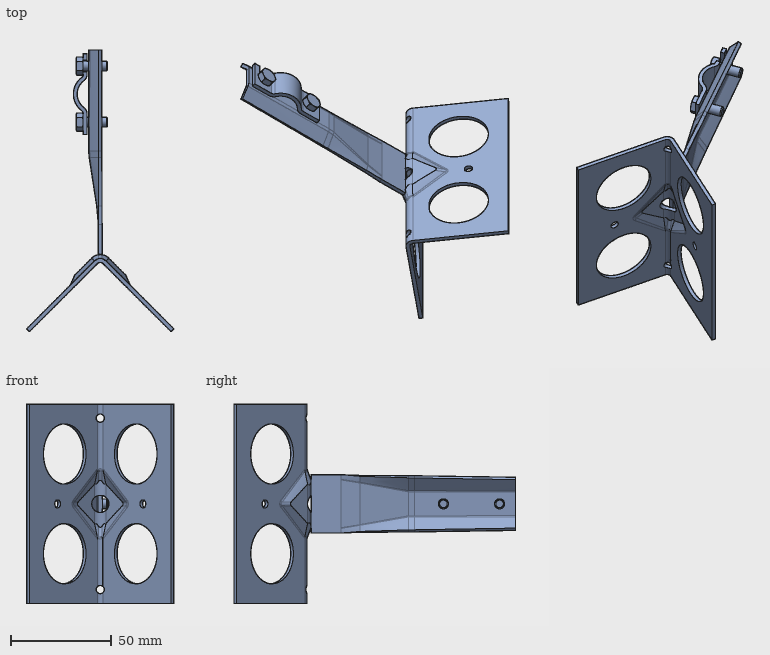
import cadquery as cq
import math


TOLERANCE = 0.001
SHEET = 2.0

PLATE_HEIGHT = 99.5
PLATE_WIDTH = 73.54
LEG_ANGLE = 45.0
BEND_INNER = 2.0
BEND_OUTER = BEND_INNER + SHEET
BIG_HOLE_DIA = 30.0
BIG_HOLE_Z = PLATE_HEIGHT / 4
BIG_HOLE_FROM_END = 25.0
SMALL_HOLE_DIA = 4.0
SMALL_HOLE_FROM_END = 20.0
FOLD_HOLE_DIA = 4.0
FOLD_HOLE_Z = 42.75
CENTRE_HOLE_DIA = 8.5

EMBOSS_HEIGHT = 2.0
EMBOSS_BASE_TIP = 17.8
EMBOSS_BASE_SIDE = 16.7
EMBOSS_BASE_CREST = 17.9
EMBOSS_TOP_TIP = 12.8
EMBOSS_TOP_SIDE = 9.8
EMBOSS_TOP_CREST = 12.8
EMBOSS_TIP_RADIUS = 2.5
EMBOSS_CREST_RADIUS = 1.5
EMBOSS_FOOT_RADIUS = 2.0
EMBOSS_RIM_RADIUS = 3.0

ARM_START = EMBOSS_HEIGHT
ARM_END = 104.01
CHANNEL_DEPTH = 4.85
CHANNEL_CORNER_Z = 6.6
STRIP_END_Y = 16.9
STRIP_CORNER_Z = 12.1
STRIP_EDGE_Z = 14.6
RAMP_START_Y = 26.3
RAMP_START_DEPTH = 0.85
RAMP_START_CORNER_Z = 10.7
RAMP_START_EDGE_Z = 14.0
RAMP_END_Y = 50.5
RAMP_END_DEPTH = 4.6
RAMP_END_EDGE_Z = 13.55
CHANNEL_START_Y = 53.6
CHANNEL_START_EDGE_Z = 13.5
ARM_END_EDGE_Z = 12.7
CREASE_WIDTH = 0.3
CHANNEL_BEND_OUTER = 3.0
CHANNEL_BEND_INNER = CHANNEL_BEND_OUTER - SHEET

STRAP_CENTRE_Y = 82.0
STRAP_LENGTH = 40.5
STRAP_WIDTH = 15.5
STRAP_BACK_X = -6.5
STRAP_RISE = 4.95
STRAP_FLAT_FROM = 9.9
STRAP_BEND = 3.0
SLOT_WIDTH = 6.0

BOLT_SPACING = 28.0
BOLT_DIA = 5.0
BOLT_TIP_X = 3.7
BOLT_TIP_CHAMFER = 0.6
HEAD_ACROSS_FLATS = 8.0
HEAD_HEIGHT = 3.5
HEAD_CHAMFER_ANGLE = 30.0

lower_bolt_y = STRAP_CENTRE_Y - BOLT_SPACING / 2
upper_bolt_y = STRAP_CENTRE_Y + BOLT_SPACING / 2
bolt_rows = (lower_bolt_y, upper_bolt_y)
strap_front_x = STRAP_BACK_X - SHEET

leg_sin = math.sin(math.radians(LEG_ANGLE))
leg_cos = math.cos(math.radians(LEG_ANGLE))
leg_length = (PLATE_WIDTH / 2 - BEND_OUTER * leg_sin) / leg_cos
bend_axis = cq.Vector(0, -BEND_OUTER, 0)


def leg_frame(side, radius):
    """Plane on a leg at a given distance from the bend axis: local x runs down the leg, z points out."""
    out = cq.Vector(side * leg_sin, leg_cos, 0)
    down = cq.Vector(side * leg_cos, -leg_sin, 0)
    return cq.Plane(origin=bend_axis + out * radius, xDir=down, normal=out)


def bend_ring(inner_radius, outer_radius):
    """Quarter ring around the bend axis, from leg to leg and over the full plate height."""
    half = PLATE_HEIGHT / 2
    profile_plane = cq.Plane(
        origin=bend_axis, xDir=(leg_sin, leg_cos, 0), normal=(leg_cos, -leg_sin, 0))
    profile = cq.Workplane(profile_plane).moveTo(inner_radius, -half).lineTo(outer_radius, -half)
    profile = profile.lineTo(outer_radius, half).lineTo(inner_radius, half).close()
    return profile.revolve(2 * LEG_ANGLE, (0, 0, 0), (0, 1, 0))


def folded_sheet():
    sheet = bend_ring(BEND_INNER, BEND_OUTER)
    for side in (1, -1):
        leg = cq.Workplane(leg_frame(side, BEND_INNER)).box(
            leg_length, PLATE_HEIGHT, SHEET, centered=(False, True, False))
        sheet = sheet.union(leg)
    return sheet


def radial_section(angle, radius, base_z, top_z):
    """Tapered cross section through the bend, made taller than the emboss at both ends."""
    taper = (base_z - top_z) / EMBOSS_HEIGHT
    low = radius - EMBOSS_HEIGHT / 2
    high = radius + 2 * EMBOSS_HEIGHT
    low_z = base_z + taper * (radius - low)
    high_z = base_z - taper * (high - radius)
    out = cq.Vector(math.sin(angle), math.cos(angle), 0)
    corners = [(low, -low_z), (high, -high_z), (high, high_z), (low, low_z)]
    return cq.Wire.makePolygon(
        [bend_axis + out * r + cq.Vector(0, 0, z) for r, z in corners], close=True)


def folded_diamond(radius):
    """Tapered diamond wrapped over the fold, standing on the surface at this bend radius."""
    top_radius = radius + EMBOSS_HEIGHT
    ring = bend_ring(radius, top_radius)
    crest_section = radial_section(0, radius, EMBOSS_BASE_CREST, EMBOSS_TOP_CREST)
    parts = []
    for side in (1, -1):
        side_section = radial_section(
            side * math.radians(LEG_ANGLE), radius, EMBOSS_BASE_SIDE, EMBOSS_TOP_SIDE)
        bend = cq.Workplane(cq.Solid.makeLoft([crest_section, side_section], True))
        parts.append(bend.intersect(ring))
        frame = leg_frame(side, radius)
        point = (
            cq.Workplane(frame)
            .polyline([(0, -EMBOSS_BASE_SIDE), (EMBOSS_BASE_TIP, 0), (0, EMBOSS_BASE_SIDE)]).close()
            .workplane(offset=EMBOSS_HEIGHT)
            .polyline([(0, -EMBOSS_TOP_SIDE), (EMBOSS_TOP_TIP, 0), (0, EMBOSS_TOP_SIDE)]).close()
            .loft(ruled=True)
        )
        tip = frame.toWorldCoords(((EMBOSS_BASE_TIP + EMBOSS_TOP_TIP) / 2, 0, EMBOSS_HEIGHT / 2))
        parts.append(point.edges(cq.NearestToPointSelector(tip.toTuple())).fillet(EMBOSS_TIP_RADIUS))
    diamond = parts[0]
    for part in parts[1:]:
        diamond = diamond.union(part)
    crest_y = radius - BEND_OUTER + EMBOSS_HEIGHT / 2
    crest_z = (EMBOSS_BASE_CREST + EMBOSS_TOP_CREST) / 2
    for z in (crest_z, -crest_z):
        crest = cq.NearestToPointSelector((0, crest_y, z))
        diamond = diamond.edges(crest).fillet(EMBOSS_CREST_RADIUS)
    return diamond


def bend_distance(point):
    """Distance from the bend axis on the fold, or from the parallel plane through it on a leg."""
    x = abs(point.x)
    y = point.y + BEND_OUTER
    down_leg = x * leg_cos - y * leg_sin
    return math.hypot(x, y) if down_leg < 0 else x * leg_sin + y * leg_cos


def round_diamond_outline(sheet, radius, fillet_radius):
    """Fillet the edges where the diamond meets the sheet face at this bend radius."""
    def on_outline(edge):
        points = [edge.positionAt(u) for u in (0, 0.5, 1)]
        on_face = all(abs(bend_distance(p) - radius) < TOLERANCE for p in points)
        return on_face and max(abs(p.z) for p in points) < PLATE_HEIGHT / 2 - TOLERANCE

    return sheet.edges("not |Z").filter(on_outline).fillet(fillet_radius)


def make_plate():
    plate = folded_sheet().union(folded_diamond(BEND_OUTER))
    plate = round_diamond_outline(plate, BEND_OUTER, EMBOSS_FOOT_RADIUS)
    plate = plate.cut(folded_diamond(BEND_INNER))
    plate = round_diamond_outline(plate, BEND_INNER, EMBOSS_RIM_RADIUS)
    for side in (1, -1):
        leg = cq.Workplane(leg_frame(side, 0))
        drill_depth = BEND_OUTER + SHEET
        big = leg.pushPoints([(leg_length - BIG_HOLE_FROM_END, z) for z in (-BIG_HOLE_Z, BIG_HOLE_Z)])
        small = leg.center(leg_length - SMALL_HOLE_FROM_END, 0)
        plate = plate.cut(big.circle(BIG_HOLE_DIA / 2).extrude(drill_depth))
        plate = plate.cut(small.circle(SMALL_HOLE_DIA / 2).extrude(drill_depth))
    fold = cq.Workplane("XZ", origin=(0, EMBOSS_HEIGHT, 0))
    drill_depth = EMBOSS_HEIGHT + 2 * BEND_OUTER
    ends = fold.pushPoints([(0, -FOLD_HOLE_Z), (0, FOLD_HOLE_Z)])
    plate = plate.cut(ends.circle(FOLD_HOLE_DIA / 2).extrude(drill_depth))
    return plate.cut(fold.circle(CENTRE_HOLE_DIA / 2).extrude(drill_depth))


def arm_section(y, depth, corner_z, edge_z):
    """Wire of a bent strip of sheet: a web at x = -depth with two flanges ending at x = 0.

    The mid surfaces of web and flange meet at z = corner_z, the flanges end at z = edge_z.
    """
    lean = math.atan2(depth, edge_z - corner_z)
    mitre = math.tan(lean / 2)

    def half_face(offset, radius):
        """Points of one upper face: web end of the bend, middle of the bend, flange end, sheet edge."""
        setback = max(radius * mitre, CREASE_WIDTH / 2)
        web_x = -depth - offset
        apex_z = corner_z + offset * mitre
        flange_x = web_x + setback * math.sin(lean)
        flange_z = apex_z + setback * math.cos(lean)
        bulge = radius * (1 - math.cos(lean / 2))
        chord_mid_x = (web_x + flange_x) / 2
        chord_mid_z = (apex_z - setback + flange_z) / 2
        mid_x = chord_mid_x - bulge * math.cos(lean / 2)
        mid_z = chord_mid_z + bulge * math.sin(lean / 2)
        edge = (-offset * math.cos(lean), edge_z + offset * math.sin(lean))
        return [(web_x, apex_z - setback), (mid_x, mid_z), (flange_x, flange_z), edge]

    outer = [cq.Vector(x, y, z) for x, z in half_face(SHEET / 2, CHANNEL_BEND_OUTER)]
    inner = [cq.Vector(x, y, z) for x, z in half_face(-SHEET / 2, CHANNEL_BEND_INNER)]
    lower_outer = [cq.Vector(p.x, y, -p.z) for p in outer]
    lower_inner = [cq.Vector(p.x, y, -p.z) for p in inner]

    def bend(start, middle, end):
        if lean:
            return cq.Edge.makeThreePointArc(start, middle, end)
        return cq.Edge.makeLine(start, end)

    line = cq.Edge.makeLine
    return cq.Wire.assembleEdges([
        line(lower_outer[0], outer[0]),
        bend(*outer[:3]),
        line(outer[2], outer[3]),
        line(outer[3], inner[3]),
        line(inner[3], inner[2]),
        bend(*inner[2::-1]),
        line(inner[0], lower_inner[0]),
        bend(*lower_inner[:3]),
        line(lower_inner[2], lower_inner[3]),
        line(lower_inner[3], lower_outer[3]),
        line(lower_outer[3], lower_outer[2]),
        bend(*lower_outer[2::-1]),
    ])


def make_arm():
    arm = cq.Workplane("XY").box(SHEET, STRIP_END_Y - ARM_START, 2 * STRIP_EDGE_Z)
    arm = arm.translate((0, (ARM_START + STRIP_END_Y) / 2, 0))
    sections = [
        arm_section(STRIP_END_Y, 0, STRIP_CORNER_Z, STRIP_EDGE_Z),
        arm_section(RAMP_START_Y, RAMP_START_DEPTH, RAMP_START_CORNER_Z, RAMP_START_EDGE_Z),
        arm_section(RAMP_END_Y, RAMP_END_DEPTH, CHANNEL_CORNER_Z, RAMP_END_EDGE_Z),
        arm_section(CHANNEL_START_Y, CHANNEL_DEPTH, CHANNEL_CORNER_Z, CHANNEL_START_EDGE_Z),
        arm_section(ARM_END, CHANNEL_DEPTH, CHANNEL_CORNER_Z, ARM_END_EDGE_Z),
    ]
    for near, far in zip(sections, sections[1:]):
        arm = arm.union(cq.Workplane(cq.Solid.makeLoft([near, far], True)))
    for y in bolt_rows:
        arm = arm.cut(bolt_shank(y))
    return arm


def make_strap():
    """Omega-shaped clamp: two flats and an arch made of three tangent arcs."""
    mid_x = STRAP_BACK_X - SHEET / 2
    radius_sum = (STRAP_FLAT_FROM**2 + STRAP_RISE**2) / (2 * STRAP_RISE)
    sweep = math.asin(STRAP_FLAT_FROM / radius_sum)
    arch_radius = radius_sum - STRAP_BEND
    arch_centre_x = mid_x - STRAP_RISE + arch_radius
    bend_centre_x = mid_x - STRAP_BEND

    def arch_point(radius, angle):
        return (arch_centre_x - radius * math.cos(angle), radius * math.sin(angle))

    def bend_point(radius, angle, side):
        return (bend_centre_x + radius * math.cos(angle),
                side * (STRAP_FLAT_FROM - radius * math.sin(angle)))

    half_length = STRAP_LENGTH / 2
    front_bend = STRAP_BEND - SHEET / 2
    back_bend = STRAP_BEND + SHEET / 2
    front_arch = arch_radius + SHEET / 2
    back_arch = arch_radius - SHEET / 2

    profile = (
        cq.Workplane("XY", origin=(0, STRAP_CENTRE_Y, -STRAP_WIDTH / 2))
        .moveTo(strap_front_x, -half_length)
        .lineTo(strap_front_x, -STRAP_FLAT_FROM)
        .threePointArc(bend_point(front_bend, sweep / 2, -1), bend_point(front_bend, sweep, -1))
        .threePointArc(arch_point(front_arch, 0), bend_point(front_bend, sweep, 1))
        .threePointArc(bend_point(front_bend, sweep / 2, 1), (strap_front_x, STRAP_FLAT_FROM))
        .lineTo(strap_front_x, half_length)
        .lineTo(STRAP_BACK_X, half_length)
        .lineTo(STRAP_BACK_X, STRAP_FLAT_FROM)
        .threePointArc(bend_point(back_bend, sweep / 2, 1), bend_point(back_bend, sweep, 1))
        .threePointArc(arch_point(back_arch, 0), bend_point(back_bend, sweep, -1))
        .threePointArc(bend_point(back_bend, sweep / 2, -1), (STRAP_BACK_X, -STRAP_FLAT_FROM))
        .lineTo(STRAP_BACK_X, -half_length)
        .close()
    )
    strap = profile.extrude(STRAP_WIDTH).cut(bolt_shank(lower_bolt_y))
    slot_plane = cq.Workplane("YZ", origin=(strap_front_x, upper_bolt_y, 0))
    slot = slot_plane.circle(SLOT_WIDTH / 2).extrude(SHEET)
    opening = slot_plane.center(0, STRAP_WIDTH / 4).rect(SLOT_WIDTH, STRAP_WIDTH / 2).extrude(SHEET)
    return strap.cut(slot).cut(opening)


def bolt_shank(y):
    """Plain shank from the strap face to the chamfered tip; also cuts the matching holes."""
    shank = cq.Workplane("YZ", origin=(strap_front_x, y, 0)).circle(BOLT_DIA / 2)
    return shank.extrude(BOLT_TIP_X - strap_front_x).faces(">X").chamfer(BOLT_TIP_CHAMFER)


def make_bolt(y):
    across_corners = HEAD_ACROSS_FLATS / math.cos(math.radians(30))
    head_plane = cq.Workplane("YZ", origin=(strap_front_x, y, 0))
    head = head_plane.polygon(6, across_corners).extrude(-HEAD_HEIGHT)
    chamfer = (across_corners - HEAD_ACROSS_FLATS) / 2
    trim = head_plane.circle(across_corners / 2).extrude(-HEAD_HEIGHT)
    trim = trim.faces("<X or >X").chamfer(chamfer * math.tan(math.radians(HEAD_CHAMFER_ANGLE)), chamfer)
    return head.intersect(trim).union(bolt_shank(y))


plate = make_plate()
arm = make_arm()
strap = make_strap()
bolts = [make_bolt(y) for y in bolt_rows]

result = cq.Compound.makeCompound(
    [plate.val(), arm.val(), strap.val()] + [bolt.val() for bolt in bolts])